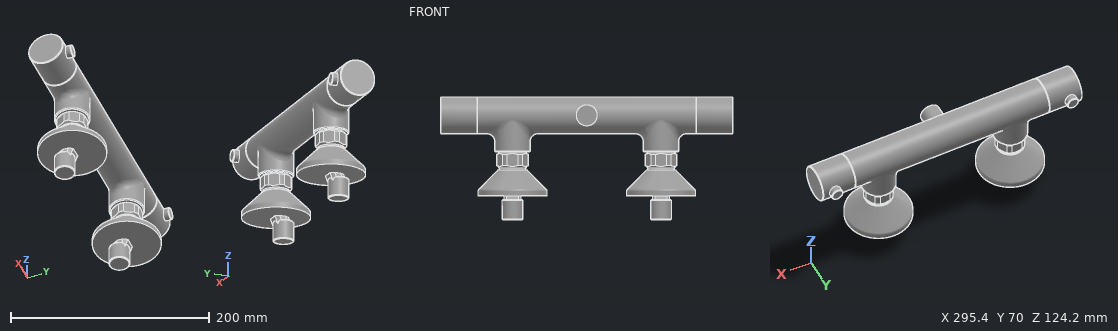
import cadquery as cq
import math


bar_radius = 18.75
overall_length = 295.38
joint_x = 110.6
groove_width = 0.8
groove_depth = 0.3
handle_edge_chamfer = 0.7

button_radius = 6.3
button_from_end = 13.5
button_top_y = 24.4
button_edge_chamfer = 0.6

outlet_radius = 10.6
outlet_end_y = -31.7

leg_spacing = 150.0
leg_radius = 18.0
leg_blend_radius = 7.5
leg_bottom_z = -37.2
leg_edge_chamfer = 1.0

nut_flats = 30.0
nut_blank_radius = 16.0
nut_chamfer = 2.4
nut_bottom_z = -53.0

neck_radius = 13.5

flange_top_z = -55.0
flange_bottom_z = -81.3
flange_top_radius = 14.5
flange_radius = 35.0
flange_rim_height = 5.7
flange_blend_radius = 2.5

stud_radius = 10.6
stud_offset_y = -8.0
stud_top_z = -85.1
stud_bottom_z = -105.45
stud_chamfer = 0.8

link_half_width = 8.75
link_half_depth = 7.4
link_front_half_width = 6.2
link_side_half_depth = 3.2
link_start_z = -72.0
link_end_z = -92.0

margin = 1.0


def vertical_cylinder(radius, top_z, bottom_z):
    return cq.Workplane("XY").workplane(offset=bottom_z).circle(radius).extrude(top_z - bottom_z)


def make_bar():
    bar = cq.Workplane("YZ").circle(bar_radius).extrude(overall_length / 2, both=True)
    return bar.faces("<X or >X").chamfer(handle_edge_chamfer)


def add_legs(bar):
    body = bar
    for leg_x in (-leg_spacing / 2, leg_spacing / 2):
        leg = vertical_cylinder(leg_radius, 0, leg_bottom_z)
        body = body.union(leg.translate((leg_x, 0, 0)))
    reach = leg_spacing / 2 + leg_radius + margin
    seam = cq.selectors.BoxSelector(
        (-reach, -bar_radius, -bar_radius - margin),
        (reach, bar_radius, -margin),
    )
    body = body.edges(seam).edges("not #Z").edges("not |Z").fillet(leg_blend_radius)
    return body.faces("<Z").chamfer(leg_edge_chamfer)


def make_joint_groove():
    return (
        cq.Workplane("YZ")
        .workplane(offset=joint_x - groove_width / 2)
        .circle(bar_radius + margin)
        .circle(bar_radius - groove_depth)
        .extrude(groove_width)
    )


def make_button():
    button_x = overall_length / 2 - button_from_end
    button = cq.Workplane("XZ").center(button_x, 0).circle(button_radius).extrude(-button_top_y)
    return button.faces(">Y").chamfer(button_edge_chamfer)


def make_outlet():
    return cq.Workplane("XZ").circle(outlet_radius).extrude(-outlet_end_y)


def make_nut():
    height = leg_bottom_z - nut_bottom_z
    blank = vertical_cylinder(nut_blank_radius, leg_bottom_z, nut_bottom_z).edges().chamfer(nut_chamfer)
    hexagon = (
        cq.Workplane("XY")
        .workplane(offset=nut_bottom_z)
        .polygon(6, nut_flats / math.cos(math.pi / 6))
        .extrude(height)
    )
    return blank.intersect(hexagon)


def make_flange():
    rim_top_z = flange_bottom_z + flange_rim_height
    flange = (
        cq.Workplane("XZ")
        .moveTo(0, flange_top_z)
        .lineTo(flange_top_radius, flange_top_z)
        .lineTo(flange_radius, rim_top_z)
        .lineTo(flange_radius, flange_bottom_z)
        .lineTo(0, flange_bottom_z)
        .close()
        .revolve(360, (0, 0, 0), (0, 1, 0))
    )
    rim_edge = cq.selectors.NearestToPointSelector((0, 0, rim_top_z))
    return flange.edges("%CIRCLE").edges(rim_edge).fillet(flange_blend_radius)


def link_section(z, center_y):
    quarter = [(link_half_width, link_side_half_depth), (link_front_half_width, link_half_depth)]
    half = quarter + [(-x, y) for x, y in reversed(quarter)]
    outline = half + [(-x, -y) for x, y in half]
    return cq.Workplane("XY", origin=(0, center_y, z)).polyline(outline).close().val()


def make_link():
    start = link_section(link_start_z, 0)
    end = link_section(link_end_z, stud_offset_y)
    return cq.Workplane(cq.Solid.makeLoft([start, end], True))


def make_stud():
    stud = vertical_cylinder(stud_radius, stud_top_z, stud_bottom_z).edges().chamfer(stud_chamfer)
    return stud.translate((0, stud_offset_y, 0))


def make_connection():
    neck = vertical_cylinder(neck_radius, nut_bottom_z, flange_top_z)
    return make_nut().union(neck).union(make_flange()).union(make_link()).union(make_stud())


right_groove = make_joint_groove()
right_button = make_button()
connection = make_connection()

result = add_legs(make_bar()).union(make_outlet())
result = result.cut(right_groove).cut(right_groove.mirror("YZ"))
result = result.union(right_button).union(right_button.mirror("YZ"))
for leg_x in (-leg_spacing / 2, leg_spacing / 2):
    result = result.union(connection.translate((leg_x, 0, 0)))